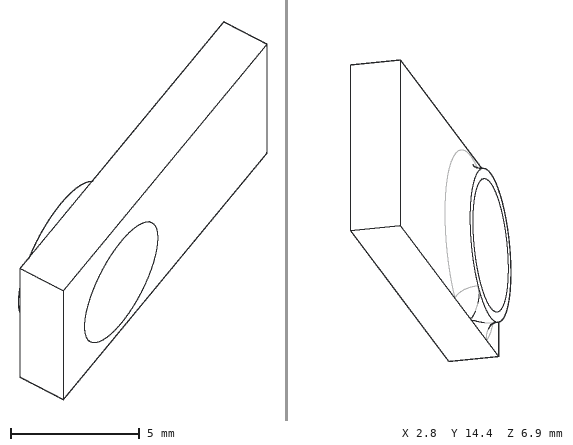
import cadquery as cq
import math

plate_length = 14.44
plate_height = 6.9
plate_thickness = 2.0

boss_height = 0.8
boss_radius = 6.0 / 2
bore_radius = 5.2 / 2
boss_center_y = 4.1
boss_center_z = boss_radius

fillet_radius = boss_height
flare_radius = boss_radius + fillet_radius

runout_angle = math.degrees(math.acos(boss_center_z / flare_radius))

runout_sections = 5
runout_end_roll = 85.0

inner_overlap = 1.2


def boss_cylinder(radius, start_x, end_x):
    """Cylinder on the boss axis between two X positions."""
    return (
        cq.Workplane("YZ", origin=(start_x, boss_center_y, boss_center_z))
        .circle(radius)
        .extrude(end_x - start_x)
    )


def full_fillet():
    """Quarter-round flank revolved around the boss, leaving out the sector at the bottom edge."""
    arc_offset = fillet_radius * (1 - math.sqrt(0.5))
    return (
        cq.Workplane("XZ")
        .lineTo(0, -flare_radius)
        .threePointArc((-arc_offset, -boss_radius - arc_offset), (-boss_height, -boss_radius))
        .lineTo(-boss_height, 0)
        .close()
        .revolve(360 - 2 * runout_angle, (0, 0, 0), (1, 0, 0))
        .rotate((0, 0, 0), (1, 0, 0), runout_angle)
        .translate((0, boss_center_y, boss_center_z))
    )


def runout_section(roll, side):
    """Section of the fillet where a rolling ball touches the plate's bottom edge and the boss.

    The roll angle is 0 where the ball sits level with the edge and 90 where it is right below it.
    """
    roll = math.radians(roll)
    ball_drop = fillet_radius * math.sin(roll)
    ball_side = side * math.sqrt(flare_radius**2 - (boss_center_z + ball_drop) ** 2)
    ball = cq.Vector(-fillet_radius * math.cos(roll), boss_center_y + ball_side, -ball_drop)

    to_edge = cq.Vector(0, ball.y, 0) - ball
    to_boss = cq.Vector(0, -ball_side, boss_center_z + ball_drop).normalized() * fillet_radius
    to_middle = (to_edge + to_boss).normalized() * fillet_radius

    edge_point = ball + to_edge
    boss_point = ball + to_boss
    inner_point = ball + (to_edge + to_boss) * inner_overlap
    return cq.Wire.assembleEdges([
        cq.Edge.makeThreePointArc(edge_point, ball + to_middle, boss_point),
        cq.Edge.makeLine(boss_point, inner_point),
        cq.Edge.makeLine(inner_point, edge_point),
    ])


def fillet_runout(side):
    """Shrinking end of the fillet along the bottom edge, on the +Y (1) or -Y (-1) side."""
    step = runout_end_roll / (runout_sections - 1)
    sections = [runout_section(step * i, side) for i in range(runout_sections)]
    return cq.Workplane(cq.Solid.makeLoft(sections))


result = cq.Workplane("XY").box(plate_thickness, plate_length, plate_height, centered=False)
result = result.union(boss_cylinder(boss_radius, -boss_height, 0))
result = result.union(full_fillet())
for side in (1, -1):
    result = result.union(fillet_runout(side))
result = result.cut(boss_cylinder(bore_radius, -boss_height, plate_thickness))